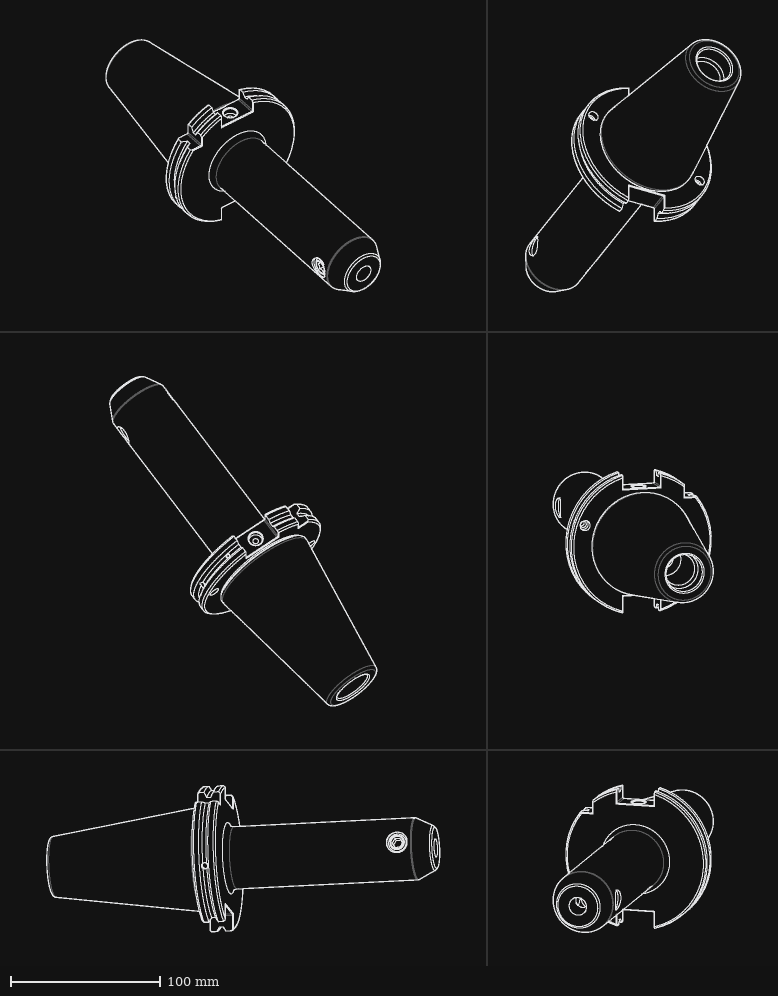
import cadquery as cq
import math

TOTAL_LENGTH = 261.8

TAPER_LENGTH = 101.8
GAUGE_RADIUS = 35.0
TAPER_SLOPE = 7 / 48
TAIL_ROUNDING = 2.0
RELIEF_START = 103.7
RELIEF_RADIUS = 34.0

FLANGE_START = 105.0
FLANGE_END = 121.0
FLANGE_RADIUS = 48.7
FLANGE_CHAMFER = 1.3
GROOVE_CENTER = 112.8
GROOVE_FLOOR_RADIUS = 45.8
GROOVE_FLOOR_WIDTH = 2.5
GROOVE_TOP_WIDTH = 6.3

SLOT_WIDTH = 26.0
UPPER_SLOT_FLOOR = 37.7
LOWER_SLOT_FLOOR = 35.3
NOTCH_SIDE_Y = -29.8
NOTCH_FLOOR_Z = 29.8
CUTOUT_CORNER_RADIUS = 0.8
CUTOUT_EDGE_BREAK = 0.5
CUTOUT_REACH = FLANGE_RADIUS + 5.2

CHIP_DIAMETER = 9.2
CHIP_DEPTH = 4.7
CHIP_CHAMFER = 0.5
CHIP_MARK_DIAMETER = 3.7
CHIP_MARK_DEPTH = 1.8

COOLANT_CIRCLE_RADIUS = 42.0
COOLANT_ANGLE = 20.0
COOLANT_DIAMETER = 4.2
COOLANT_MOUTH_DIAMETER = 6.8
COOLANT_MOUTH_DEPTH = 4.7

DIMPLE_ANGLE = 60.0
DIMPLE_DIAMETER = 2.5
DIMPLE_DEPTH = 1.3

SHANK_RADIUS = 21.0
ROOT_ARC_RADIUS = 4.5
ROOT_ARC_LENGTH = 4.2
NOSE_START = 249.0
NOSE_TIP_RADIUS = 15.2
NOSE_SHOULDER_ROUNDING = 1.5
NOSE_CHAMFER = 1.3

MOUTH_RADIUS = 13.5
PILOT_RADIUS = 12.5
MOUTH_CHAMFER = MOUTH_RADIUS - PILOT_RADIUS
PILOT_DEPTH = 11.5
THREAD_RADIUS = 10.7
THREAD_DEPTH = 47.0
BORE_RADIUS = 6.0
DRILL_POINT_ANGLE = 118.0

SCREW_X = 239.2
SCREW_RADIUS = 6.0
SCREW_OUTER_END = 19.5
SCREW_INNER_END = 6.3
SCREW_CHAMFER = 1.0
SOCKET_WIDTH = 6.0
SOCKET_DEPTH = 6.0
SOCKET_CHAMFER = 0.8
SEAT_RADIUS = 7.0
SEAT_FLOOR = 19.5
BALANCE_X = 236.5
BALANCE_DIAMETER = 13.3
BALANCE_DEPTH = 2.0


def turned(points):
    """Revolve a closed (x, radius) outline around the X axis."""
    return cq.Workplane("XZ").polyline(points).close().revolve(360, (0, 0, 0), (1, 0, 0))


def rod(radius, length, start, direction):
    return cq.Workplane(obj=cq.Solid.makeCylinder(radius, length, cq.Vector(*start), cq.Vector(*direction)))


def cone(radius, end_radius, length, start, direction):
    return cq.Workplane(
        obj=cq.Solid.makeCone(radius, end_radius, length, cq.Vector(*start), cq.Vector(*direction))
    )


def holder_blank():
    tail_radius = GAUGE_RADIUS - TAPER_LENGTH * TAPER_SLOPE
    root_end = FLANGE_END + ROOT_ARC_LENGTH
    root_center_r = SHANK_RADIUS + ROOT_ARC_RADIUS

    def root_point(x):
        return x, root_center_r - math.sqrt(ROOT_ARC_RADIUS**2 - (root_end - x) ** 2)

    return (
        cq.Workplane("XZ")
        .lineTo(0, tail_radius)
        .lineTo(TAPER_LENGTH, GAUGE_RADIUS)
        .lineTo(RELIEF_START, GAUGE_RADIUS)
        .lineTo(RELIEF_START, RELIEF_RADIUS)
        .lineTo(FLANGE_START, RELIEF_RADIUS)
        .lineTo(FLANGE_START, FLANGE_RADIUS - FLANGE_CHAMFER)
        .lineTo(FLANGE_START + FLANGE_CHAMFER, FLANGE_RADIUS)
        .lineTo(GROOVE_CENTER - GROOVE_TOP_WIDTH / 2, FLANGE_RADIUS)
        .lineTo(GROOVE_CENTER - GROOVE_FLOOR_WIDTH / 2, GROOVE_FLOOR_RADIUS)
        .lineTo(GROOVE_CENTER + GROOVE_FLOOR_WIDTH / 2, GROOVE_FLOOR_RADIUS)
        .lineTo(GROOVE_CENTER + GROOVE_TOP_WIDTH / 2, FLANGE_RADIUS)
        .lineTo(FLANGE_END - FLANGE_CHAMFER, FLANGE_RADIUS)
        .lineTo(FLANGE_END, FLANGE_RADIUS - FLANGE_CHAMFER)
        .lineTo(*root_point(FLANGE_END))
        .threePointArc(root_point((FLANGE_END + root_end) / 2), root_point(root_end))
        .lineTo(NOSE_START, SHANK_RADIUS)
        .lineTo(TOTAL_LENGTH - NOSE_CHAMFER, NOSE_TIP_RADIUS)
        .lineTo(TOTAL_LENGTH, NOSE_TIP_RADIUS - NOSE_CHAMFER)
        .lineTo(TOTAL_LENGTH, 0)
        .close()
        .revolve(360, (0, 0, 0), (1, 0, 0))
        .edges(cq.selectors.BoxSelector((-0.3, -23.5, -23.5), (0.3, 23.5, 23.5)))
        .fillet(TAIL_ROUNDING)
        .edges(cq.selectors.BoxSelector((NOSE_START - 0.3, -23.5, -23.5), (NOSE_START + 0.3, 23.5, 23.5)))
        .fillet(NOSE_SHOULDER_ROUNDING)
    )


def axial_bore():
    """Pull-stud recess, thread hole with a drill point, and the through bore."""
    point_length = (THREAD_RADIUS - BORE_RADIUS) / math.tan(math.radians(DRILL_POINT_ANGLE / 2))
    return turned(
        [
            (0, 0),
            (0, MOUTH_RADIUS),
            (MOUTH_CHAMFER, PILOT_RADIUS),
            (PILOT_DEPTH, PILOT_RADIUS),
            (PILOT_DEPTH + PILOT_RADIUS - THREAD_RADIUS, THREAD_RADIUS),
            (THREAD_DEPTH, THREAD_RADIUS),
            (THREAD_DEPTH + point_length, BORE_RADIUS),
            (TOTAL_LENGTH, BORE_RADIUS),
            (TOTAL_LENGTH, 0),
        ]
    )


def cutout(y_low, y_high, z_low, z_high):
    """Rectangular channel through the flange, with rounded corners and both rims chamfered."""

    def prism(start_x, length, margin, taper):
        width = y_high - y_low + 2 * margin
        height = z_high - z_low + 2 * margin
        center = (start_x, (y_low + y_high) / 2, (z_low + z_high) / 2)
        return cq.Workplane("YZ", origin=center).rect(width, height).extrude(length, taper=taper)

    channel = prism(FLANGE_START, FLANGE_END - FLANGE_START, 0, 0)
    channel = channel.edges("|X").fillet(CUTOUT_CORNER_RADIUS)
    front_rim = prism(FLANGE_START, CUTOUT_EDGE_BREAK, CUTOUT_EDGE_BREAK, 45)
    back_rim = prism(FLANGE_END, -CUTOUT_EDGE_BREAK, CUTOUT_EDGE_BREAK, 45)
    return [channel, front_rim, back_rim]


def flange_cutouts():
    """Both drive slots and the corner notch."""
    half = SLOT_WIDTH / 2
    upper = cutout(-half, half, UPPER_SLOT_FLOOR, CUTOUT_REACH)
    lower = cutout(-half, half, -CUTOUT_REACH, -LOWER_SLOT_FLOOR)
    notch = cutout(-CUTOUT_REACH, NOTCH_SIDE_Y, NOTCH_FLOOR_Z, CUTOUT_REACH)
    return [*upper, *lower, *notch]


def chip_pocket():
    """Flat-bottomed pocket with a chamfered rim and a drill mark in its floor."""
    down = (0, 0, -1)
    rim_center = (GROOVE_CENTER, 0, UPPER_SLOT_FLOOR)
    floor_center = (GROOVE_CENTER, 0, UPPER_SLOT_FLOOR - CHIP_DEPTH)
    radius = CHIP_DIAMETER / 2
    pocket = rod(radius, CHIP_DEPTH, rim_center, down)
    rim = cone(radius + CHIP_CHAMFER, radius, CHIP_CHAMFER, rim_center, down)
    drill_mark = cone(CHIP_MARK_DIAMETER / 2, 0, CHIP_MARK_DEPTH, floor_center, down)
    return [pocket, rim, drill_mark]


def coolant_passage(angle):
    """Stepped axial hole from the flange face, met by a radial hole from the groove."""
    outward = (0, math.cos(math.radians(angle)), math.sin(math.radians(angle)))
    _, y, z = [COOLANT_CIRCLE_RADIUS * part for part in outward]
    radius = COOLANT_DIAMETER / 2
    mouth = rod(COOLANT_MOUTH_DIAMETER / 2, COOLANT_MOUTH_DEPTH, (FLANGE_START, y, z), (1, 0, 0))
    axial = rod(radius, GROOVE_CENTER + radius - FLANGE_START, (FLANGE_START, y, z), (1, 0, 0))
    radial = rod(radius, FLANGE_RADIUS - COOLANT_CIRCLE_RADIUS, (GROOVE_CENTER, y, z), outward)
    return [mouth, axial, radial]


def groove_dimple():
    outward_y = math.cos(math.radians(DIMPLE_ANGLE))
    outward_z = math.sin(math.radians(DIMPLE_ANGLE))
    floor_radius = GROOVE_FLOOR_RADIUS - DIMPLE_DEPTH
    start = (GROOVE_CENTER, floor_radius * outward_y, floor_radius * outward_z)
    return rod(DIMPLE_DIAMETER / 2, FLANGE_RADIUS - floor_radius, start, (0, outward_y, outward_z))


def screw_hole():
    """Hole into the bore, with a wider seat at the shank surface and a 45 degree step."""
    inward = (0, 1, 0)
    hole = rod(SCREW_RADIUS, SHANK_RADIUS, (SCREW_X, -SHANK_RADIUS, 0), inward)
    seat = rod(SEAT_RADIUS, SHANK_RADIUS - SEAT_FLOOR, (SCREW_X, -SHANK_RADIUS, 0), inward)
    step = cone(SEAT_RADIUS, SCREW_RADIUS, SEAT_RADIUS - SCREW_RADIUS, (SCREW_X, -SEAT_FLOOR, 0), inward)
    return [hole, seat, step]


def balance_hole():
    return rod(BALANCE_DIAMETER / 2, BALANCE_DEPTH, (BALANCE_X, SHANK_RADIUS, 0), (0, -1, 0))


def make_holder():
    cutters = [axial_bore(), *flange_cutouts(), *chip_pocket(), groove_dimple()]
    for angle in (COOLANT_ANGLE, COOLANT_ANGLE + 180):
        cutters += coolant_passage(angle)
    cutters += [*screw_hole(), balance_hole()]
    holder = holder_blank()
    for cutter in cutters:
        holder = holder.cut(cutter)
    return holder


def make_clamping_screw():
    """Set screw with chamfered ends and a hexagon socket facing -Y."""
    corner_diameter = SOCKET_WIDTH / math.cos(math.pi / 6)
    length = SCREW_OUTER_END - SCREW_INNER_END
    outer_face = (SCREW_X, -SCREW_OUTER_END, 0)
    body = rod(SCREW_RADIUS, length, outer_face, (0, 1, 0)).edges().chamfer(SCREW_CHAMFER)
    socket = (
        cq.Workplane("XZ", origin=outer_face).polygon(6, corner_diameter).extrude(-SOCKET_DEPTH)
    )
    lead_in_radius = corner_diameter / 2 + SOCKET_CHAMFER
    lead_in = cone(lead_in_radius, 0, lead_in_radius, outer_face, (0, 1, 0))
    return body.cut(socket).cut(lead_in)


holder = make_holder()
clamping_screw = make_clamping_screw()

result = cq.Compound.makeCompound([holder.val(), clamping_screw.val()])